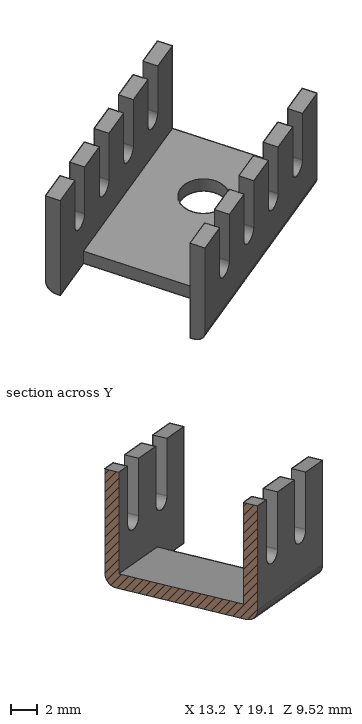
import cadquery as cq

length = 19.05
width = 13.2
height = 9.52
wall = 1.24
bend_radius = 1.01

floor_length = 15.1
hole_diameter = 3.81
hole_from_back = 5.73

slot_count = 4
fin_width = 2.5
slot_depth = 5.5
slot_width = (length - (slot_count + 1) * fin_width) / slot_count
slot_pitch = fin_width + slot_width

back = length / 2


def make_channel():
    """Full-length U channel with rounded outer bottom edges."""
    outer = cq.Workplane("XY").box(width, length, height, centered=(True, True, False))
    outer = outer.edges("|Y and <Z").fillet(bend_radius)
    inner = (
        cq.Workplane("XY")
        .workplane(offset=wall)
        .rect(width - 2 * wall, length)
        .extrude(height - wall)
    )
    return outer.cut(inner)


def make_floor_cutout():
    """Block that removes the floor between the walls at the -Y end."""
    cutout_length = length - floor_length
    return (
        cq.Workplane("XY")
        .center(0, -back + cutout_length / 2)
        .rect(width - 2 * wall, cutout_length)
        .extrude(wall)
    )


def make_hole():
    """Mounting hole through the floor."""
    return (
        cq.Workplane("XY")
        .center(0, back - hole_from_back)
        .circle(hole_diameter / 2)
        .extrude(wall)
    )


def make_slot(y):
    """Open-topped slot through both side walls, with a semicircular bottom."""
    radius = slot_width / 2
    bottom = height - slot_depth
    return (
        cq.Workplane("YZ")
        .moveTo(y - radius, height)
        .lineTo(y - radius, bottom + radius)
        .threePointArc((y, bottom), (y + radius, bottom + radius))
        .lineTo(y + radius, height)
        .close()
        .extrude(width / 2, both=True)
    )


result = make_channel().cut(make_floor_cutout()).cut(make_hole())
for index in range(slot_count):
    slot_y = (index - (slot_count - 1) / 2) * slot_pitch
    result = result.cut(make_slot(slot_y))